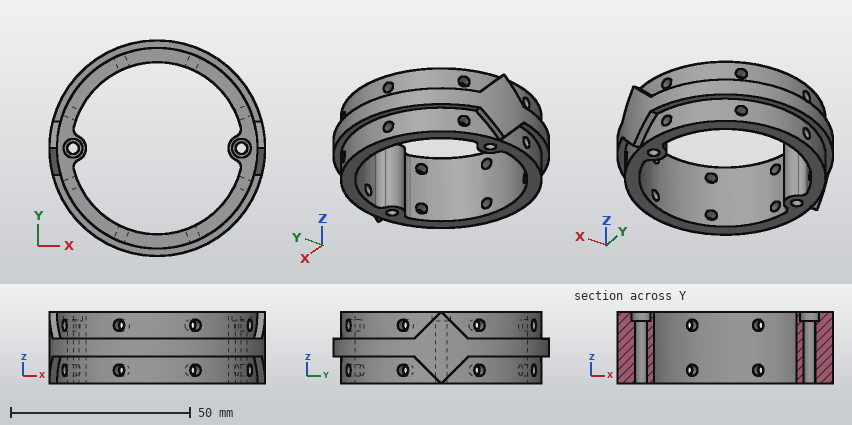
import cadquery as cq

height = 20.0
body_diameter = 55.8
wall_thickness = 4.0
flange_diameter = 60.0
flange_height = 5.0

radial_hole_diameter = 3.1
holes_per_row = 8

screw_offset = 23.4
screw_hole_diameter = 3.2
counterbore_diameter = 5.25
counterbore_depth = 2.5
boss_wall = 1.0
boss_fillet_radius = 2.2

bore_diameter = body_diameter - 2 * wall_thickness
mid_height = height / 2
half_flange = flange_height / 2
row_offset = (half_flange + mid_height) / 2
row_heights = (mid_height - row_offset, mid_height + row_offset)
hole_pitch = 360.0 / holes_per_row
boss_diameter = counterbore_diameter + 2 * boss_wall
screw_points = [(-screw_offset, 0), (screw_offset, 0)]


def disc(diameter, bottom, thickness):
    """Solid disc around the Z axis."""
    return cq.Workplane("XY").workplane(offset=bottom).circle(diameter / 2).extrude(thickness)


def make_body():
    """Plain ring with two filleted screw bosses on its bore."""
    bosses = (
        cq.Workplane("XY")
        .pushPoints(screw_points)
        .circle(boss_diameter / 2)
        .extrude(height)
    )
    bore = disc(bore_diameter, 0, height).cut(bosses)
    bore = bore.edges("|Z").fillet(boss_fillet_radius)
    return disc(body_diameter, 0, height).cut(bore)


def make_collar():
    """Flange at mid height plus a full-height diamond lug at each end of the X axis."""
    flange = disc(flange_diameter, mid_height - half_flange, flange_height)
    diamond = (
        cq.Workplane("YZ")
        .lineTo(mid_height, mid_height)
        .lineTo(0, height)
        .lineTo(-mid_height, mid_height)
        .close()
        .extrude(flange_diameter / 2, both=True)
    )
    lugs = disc(flange_diameter, 0, height).intersect(diamond)
    return flange.union(lugs).cut(disc(body_diameter, 0, height))


def drill_radial_holes(part):
    """Two rows of evenly spaced radial holes, straddling the X and Y axes."""
    for row_height in row_heights:
        drill = (
            cq.Workplane("YZ")
            .center(0, row_height)
            .circle(radial_hole_diameter / 2)
            .extrude(flange_diameter / 2, both=True)
        )
        for index in range(holes_per_row // 2):
            angle = (index + 0.5) * hole_pitch
            part = part.cut(drill.rotate((0, 0, 0), (0, 0, 1), angle))
    return part


def drill_screw_holes(part):
    """Through holes in the bosses, counterbored from the top."""
    return (
        part.faces(">Z")
        .workplane(origin=(0, 0, height))
        .pushPoints(screw_points)
        .cboreHole(screw_hole_diameter, counterbore_diameter, counterbore_depth)
    )


ring = make_body().union(make_collar())
ring = drill_radial_holes(ring)
result = drill_screw_holes(ring)